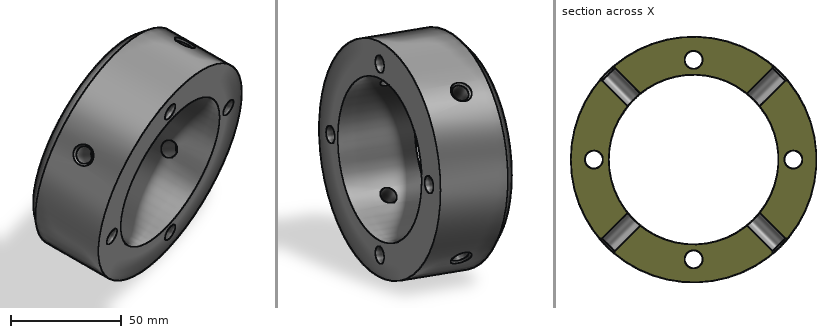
import cadquery as cq

outer_diameter = 111.0
bore_diameter = 76.5
width = 40.0
chamfer = 5.0

hole_count = 4
hole_diameter = 8.0
bolt_circle_diameter = 90.0
radial_hole_start_angle = 45.0
countersink_diameter = 10.2

outer_radius = outer_diameter / 2
hole_radius = hole_diameter / 2
countersink_radius = countersink_diameter / 2
countersink_depth = countersink_radius - hole_radius
cutter_overrun = 1.1


def make_ring():
    """Plain ring from X = 0 to X = width, chamfered on the outer edge at X = 0."""
    body = cq.Workplane("YZ").circle(outer_radius).extrude(width)
    body = body.faces("<X").edges().chamfer(chamfer)
    bore = cq.Workplane("YZ").circle(bore_diameter / 2).extrude(width)
    return body.cut(bore)


def make_axial_holes():
    """Through holes parallel to the ring axis, evenly spaced on the bolt circle."""
    return (
        cq.Workplane("YZ")
        .polarArray(bolt_circle_diameter / 2, 0, 360, hole_count)
        .circle(hole_radius)
        .extrude(width)
    )


def make_radial_cutter():
    """Countersunk hole at mid width, running from the ring axis out along +Z."""
    cone_start = outer_radius - countersink_depth
    cutter_end = outer_radius + cutter_overrun
    profile = [
        (0, 0),
        (hole_radius, 0),
        (hole_radius, cone_start),
        (countersink_radius + cutter_overrun, cutter_end),
        (0, cutter_end),
    ]
    cutter = cq.Workplane("XZ").polyline(profile).close().revolve(360, (0, 0, 0), (0, 1, 0))
    return cutter.translate((width / 2, 0, 0))


result = make_ring().cut(make_axial_holes())
radial_cutter = make_radial_cutter()
for index in range(hole_count):
    angle = radial_hole_start_angle + index * 360 / hole_count
    result = result.cut(radial_cutter.rotate((0, 0, 0), (1, 0, 0), angle))